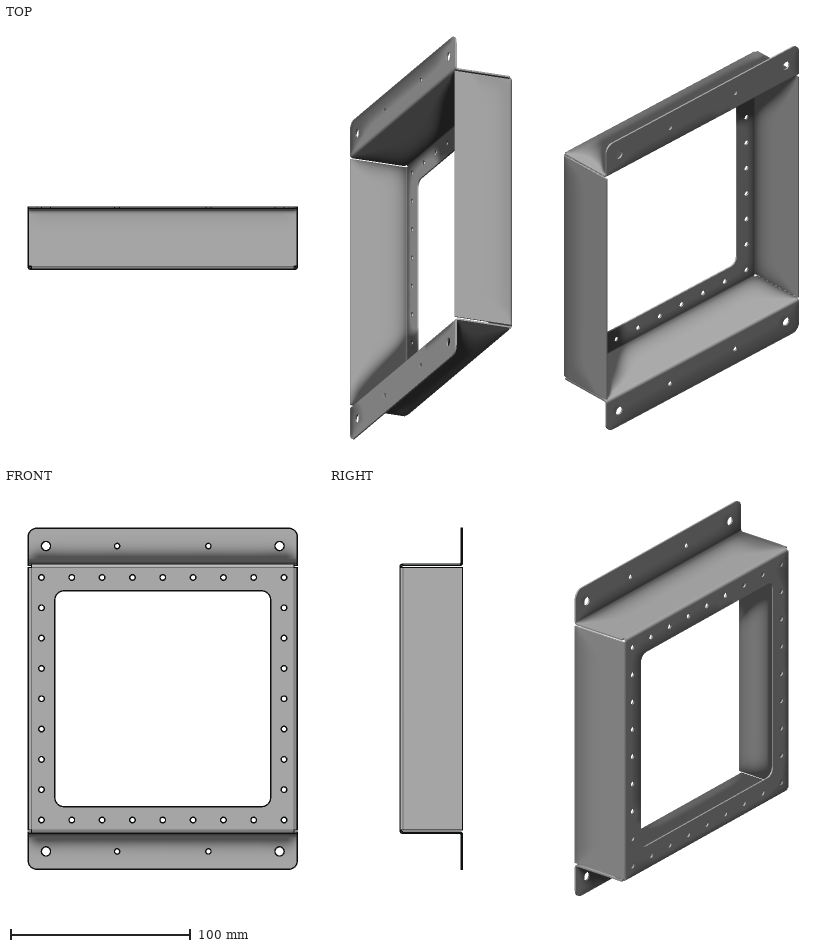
import cadquery as cq

sheet = 0.91
inner_bend = sheet
outer_bend = inner_bend + sheet

frame_size = 150.0
depth = 35.0
half_frame = frame_size / 2
half_flat = half_frame - outer_bend

window_size = 120.0
window_radius = 5.0

frame_hole_diameter = 3.0
frame_holes_per_side = 9
frame_hole_span = 135.0
frame_hole_pitch = frame_hole_span / (frame_holes_per_side - 1)

overall_height = 190.0
half_height = overall_height / 2
flange_corner_radius = 5.0
mount_hole_diameter = 5.0
mount_hole_inset = 10.0
pilot_hole_diameter = 2.85
pilot_hole_spacing = 50.8

front_y = -depth / 2
rear_y = depth / 2


def make_plate_and_sides():
    """Front plate and side walls: a U-section in XY, extruded along Z."""
    outer = (
        cq.Workplane("XY")
        .box(frame_size, depth, 2 * half_flat)
        .edges("<Y and |Z")
        .fillet(outer_bend)
    )
    inner = (
        cq.Workplane("XY")
        .box(frame_size - 2 * sheet, depth, 2 * half_flat)
        .translate((0, sheet, 0))
        .edges("<Y and |Z")
        .fillet(inner_bend)
    )
    return outer.cut(inner)


def make_flanged_wall():
    """Top wall with its front bend, rear bend and mounting flange, folded along X."""
    wall_inside = half_frame - sheet
    section = (
        cq.Workplane("YZ")
        .moveTo(front_y, half_flat)
        .radiusArc((front_y + outer_bend, half_frame), outer_bend)
        .lineTo(rear_y - outer_bend, half_frame)
        .radiusArc((rear_y - sheet, half_frame + inner_bend), -inner_bend)
        .lineTo(rear_y - sheet, half_height)
        .lineTo(rear_y, half_height)
        .lineTo(rear_y, half_frame + inner_bend)
        .radiusArc((rear_y - outer_bend, wall_inside), outer_bend)
        .lineTo(front_y + outer_bend, wall_inside)
        .radiusArc((front_y + sheet, half_flat), -inner_bend)
        .close()
    )
    folded = section.extrude(half_frame, both=True)
    folded = folded.edges("|Y and >Z").fillet(flange_corner_radius)
    bend_relief = cq.Workplane("XY").box(outer_bend, outer_bend, outer_bend)
    relief_centre = half_frame - outer_bend / 2
    relief_y = front_y + outer_bend / 2
    for side in (-1, 1):
        folded = folded.cut(bend_relief.translate((side * relief_centre, relief_y, relief_centre)))
    return folded


def through_holes(points, diameter):
    """Cylinders along Y, long enough to pierce any sheet of the part."""
    return (
        cq.Workplane("XZ", origin=(0, rear_y, 0))
        .pushPoints(points)
        .circle(diameter / 2)
        .extrude(depth)
    )


def frame_hole_points():
    """Evenly pitched points around the border of a square, corners counted once."""
    last = frame_holes_per_side - 1
    points = []
    for column in range(frame_holes_per_side):
        for row in range(frame_holes_per_side):
            if column in (0, last) or row in (0, last):
                x = column * frame_hole_pitch - frame_hole_span / 2
                z = row * frame_hole_pitch - frame_hole_span / 2
                points.append((x, z))
    return points


def flange_hole_points(half_spacing):
    """One hole either side of centre on both flanges."""
    hole_z = half_height - mount_hole_inset
    return [(x, z) for x in (-half_spacing, half_spacing) for z in (-hole_z, hole_z)]


def make_window():
    """Rounded square block that opens the front plate."""
    return (
        cq.Workplane("XY")
        .box(window_size, depth, window_size)
        .edges("|Y")
        .fillet(window_radius)
    )


top_wall = make_flanged_wall()
bottom_wall = top_wall.mirror("XY")

result = (
    make_plate_and_sides()
    .union(top_wall)
    .union(bottom_wall)
    .cut(make_window())
    .cut(through_holes(frame_hole_points(), frame_hole_diameter))
    .cut(through_holes(flange_hole_points(half_frame - mount_hole_inset), mount_hole_diameter))
    .cut(through_holes(flange_hole_points(pilot_hole_spacing / 2), pilot_hole_diameter))
)